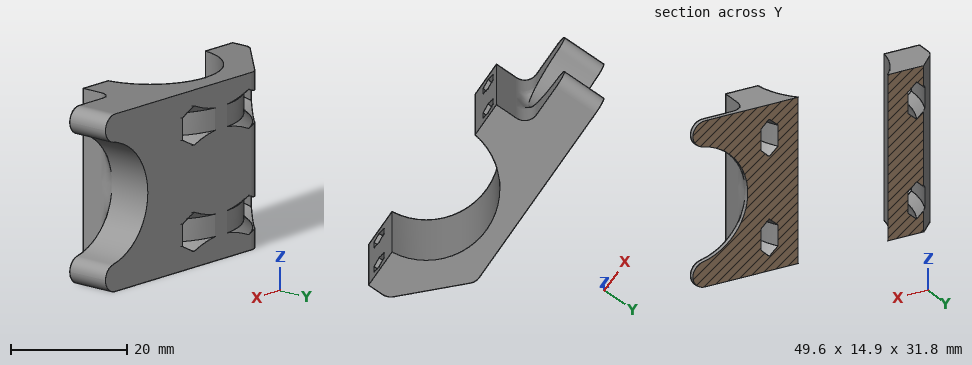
import cadquery as cq
import math


length = 49.64
depth = 14.92
height = 31.75

bore_radius = 12.65
bore_to_left_side = 19.66
clamp_face_offset = 1.5

block_length = 38.7
arm_thickness = 8.25
bevel_size = 10.95
corner_radius = 2.5

tip_radius = 2.5

channel_inner_radius = 15.0
channel_width = 3.0
channel_straight_height = 4.0
channel_point_height = 1.5
channel_spacing = 19.0

left_x = -bore_to_left_side
block_right_x = left_x + block_length
tip_x = left_x + length
front_y = clamp_face_offset
back_y = front_y + depth
arm_front_y = back_y - arm_thickness


def make_body():
    """Block with an overhanging arm and a 45 degree bevel on the back left corner."""
    outline = [
        (left_x, front_y),
        (block_right_x, front_y),
        (block_right_x, arm_front_y),
        (tip_x, arm_front_y),
        (tip_x, back_y),
        (left_x + bevel_size, back_y),
        (left_x, back_y - bevel_size),
    ]
    body = cq.Workplane("XY").polyline(outline).close().extrude(height / 2, both=True)
    bevel_corners = [
        (left_x + bevel_size, back_y),
        (left_x, back_y - bevel_size),
    ]
    for x, y in bevel_corners:
        corner = cq.selectors.NearestToPointSelector((x, y, 0))
        body = body.edges("|Z").edges(corner).fillet(corner_radius)
    return body


def make_bore():
    return cq.Workplane("XY").circle(bore_radius).extrude(height / 2, both=True)


def make_fork_cutter():
    """Opening between the fork prongs: an arc touching the block that flows into the round prong tips."""
    tip_centre_x = tip_x - tip_radius
    tip_centre_z = height / 2 - tip_radius
    reach = tip_centre_x - block_right_x
    gap_radius = (reach**2 + tip_centre_z**2 - tip_radius**2) / (2 * (reach + tip_radius))
    gap_centre_x = block_right_x + gap_radius

    share = tip_radius / (tip_radius + gap_radius)
    join_x = tip_centre_x + share * (gap_centre_x - tip_centre_x)
    join_z = tip_centre_z * (1 - share)

    join_angle = math.atan2(join_z - tip_centre_z, join_x - tip_centre_x)
    mid_x = tip_centre_x + tip_radius * math.cos(join_angle / 2)
    mid_z = tip_centre_z + tip_radius * math.sin(join_angle / 2)

    return (
        cq.Workplane("XZ", origin=(0, front_y, 0))
        .moveTo(tip_x, tip_centre_z)
        .threePointArc((mid_x, mid_z), (join_x, join_z))
        .threePointArc((block_right_x, 0), (join_x, -join_z))
        .threePointArc((mid_x, -mid_z), (tip_x, -tip_centre_z))
        .close()
        .extrude(-depth)
    )


def round_prong_corners(body):
    """Round the outer corners of both prongs."""
    for z in (-height / 2, height / 2):
        corner = cq.selectors.NearestToPointSelector((tip_x, (arm_front_y + back_y) / 2, z))
        body = body.edges("|Y").edges(corner).fillet(tip_radius)
    return body


def round_arm_root(body):
    """Round the inner corner under the arm, including where the fork gap narrows the arm's face."""
    margin = 0.1
    root = cq.selectors.BoxSelector(
        (block_right_x - margin, arm_front_y - margin, -height / 2),
        (block_right_x + margin, arm_front_y + margin, height / 2),
    )
    return body.edges("|Z").edges(root).fillet(corner_radius)


def make_strap_channel(z):
    """Ring centred on the clamp face whose section is a rectangle pointed at its top and bottom."""
    half_straight = channel_straight_height / 2
    half_total = half_straight + channel_point_height
    middle_radius = channel_inner_radius + channel_width / 2
    outer_radius = channel_inner_radius + channel_width
    section = [
        (channel_inner_radius, z - half_straight),
        (middle_radius, z - half_total),
        (outer_radius, z - half_straight),
        (outer_radius, z + half_straight),
        (middle_radius, z + half_total),
        (channel_inner_radius, z + half_straight),
    ]
    plane = cq.Workplane("XZ", origin=(0, front_y, 0))
    return plane.polyline(section).close().revolve(360, (0, 0), (0, 1))


result = round_prong_corners(make_body())
result = result.cut(make_bore()).cut(make_fork_cutter())
result = round_arm_root(result)
for channel_z in (-channel_spacing / 2, channel_spacing / 2):
    result = result.cut(make_strap_channel(channel_z))